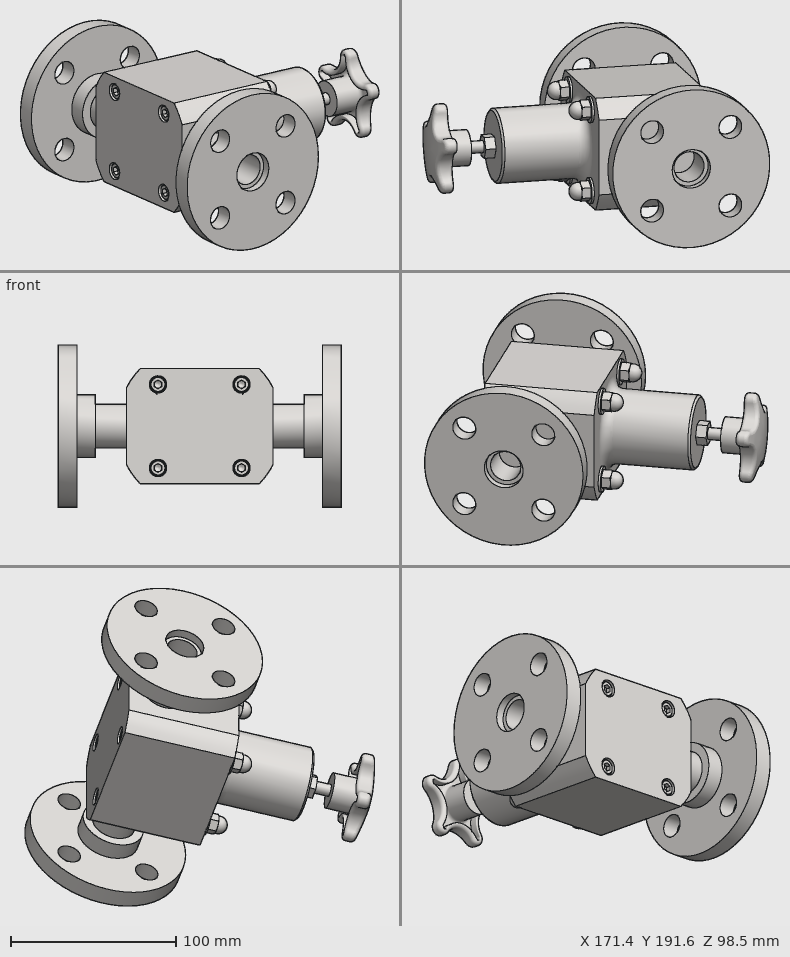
import cadquery as cq
import math

run_length = 171.4
flange_diameter = 98.5
flange_thickness = 11.5
flange_hole_diameter = 14.2
flange_hole_offset = 24.5
hub_diameter = 38.1
hub_length = 11.1
pipe_diameter = 26.6
seat_diameter = 24.0
seat_depth = 5.4
bore_diameter = 18.8
bore_depth = 28.7

body_length = 88.9
body_height = 69.9
body_depth = 69.5
body_turned_diameter = 100.3
body_back = 46.7
body_front = body_back - body_depth

bolt_offset = 25.3
counterbore_diameter = 10.5
counterbore_depth = 5.7
screw_head_diameter = 9.5
screw_head_chamfer = 0.5
screw_head_recess = 1.0
socket_flats = 4.6
socket_depth = 2.9
socket_cone_depth = 1.1
washer_diameter = 15.9
washer_thickness = 1.3
nut_flats = 11.0
nut_top = 53.8
nut_chamfer_angle = 30
dome_radius = nut_flats / 2
dome_center = 55.0

bonnet_diameter = 45.8
bonnet_top = 101.3
bonnet_chamfer = 1.3
bonnet_flare_radius = 6.5
locknut_flats = 13.0
locknut_top = 107.8
stem_diameter = 7.5

wheel_hub_diameter = 22.0
wheel_hub_bottom = 117.5
wheel_bottom = 130.5
wheel_top = 142.3
wheel_reach = 28.3
wheel_crown_radius = 90.0
wheel_edge_fillet = 2.5
lobe_count = 5
lobe_radius = 4.8
wheel_rim = 3.0
rim_inner_fillet = 0.48
wheel_pocket_floor = 135.5
hub_flare_radius = 2.5


def plane_y(y):
    """Workplane at height y on the valve axis, with normal +Y and local x along X."""
    return cq.Workplane(cq.Plane(origin=(0, y, 0), xDir=(1, 0, 0), normal=(0, 1, 0)))


def rod_y(diameter, start, end):
    """Cylinder on the valve axis."""
    return plane_y(start).circle(diameter / 2).extrude(end - start)


def hex_y(flats, start, end, corner_angle):
    """Hexagonal prism on the valve axis, one corner turned by corner_angle from X."""
    corners = flats / math.cos(math.radians(30))
    prism = plane_y(start).polygon(6, corners).extrude(end - start)
    return prism.rotate((0, 0, 0), (0, 1, 0), corner_angle)


def turn_y(outline):
    """Revolve an outline of the XY plane, once closed, around the valve axis."""
    return outline.close().revolve(360, (0, 0, 0), (0, 1, 0))


def at_bolts(shape):
    """Copies of a shape from the valve axis at the four bolt positions."""
    copies = cq.Workplane()
    for x in (-bolt_offset, bolt_offset):
        for z in (-bolt_offset, bolt_offset):
            copies = copies.add(shape.translate((x, 0, z)))
    return copies.combine()


def flanged_end():
    """Pipe, hub and flange on the -X side."""
    face = cq.Workplane("YZ", origin=(-run_length / 2, 0, 0))
    end = face.circle(flange_diameter / 2).extrude(flange_thickness)
    holes = face.rect(2 * flange_hole_offset, 2 * flange_hole_offset, forConstruction=True).vertices()
    end = end.cut(holes.circle(flange_hole_diameter / 2).extrude(flange_thickness))
    end = end.union(face.circle(hub_diameter / 2).extrude(flange_thickness + hub_length))
    end = end.union(face.circle(pipe_diameter / 2).extrude((run_length - body_length) / 2))
    end = end.cut(face.circle(seat_diameter / 2).extrude(seat_depth))
    return end.cut(face.circle(bore_diameter / 2).extrude(bore_depth))


def body_block():
    """Rectangular block whose corners are turned to a cylinder about the valve axis."""
    block = plane_y(body_front).rect(body_length, body_height).extrude(body_depth)
    return block.intersect(rod_y(body_turned_diameter, body_front, body_back))


def screw_pocket():
    """Space removed around and inside one recessed socket head."""
    head_face = body_front + screw_head_recess
    pocket = rod_y(counterbore_diameter, body_front, body_front + counterbore_depth)
    head = rod_y(screw_head_diameter, head_face, body_front + counterbore_depth)
    pocket = pocket.cut(head.faces("<Y").edges().chamfer(screw_head_chamfer))
    socket_floor = head_face + socket_depth
    socket = hex_y(socket_flats, head_face, socket_floor, 30)
    cone = turn_y(
        cq.Workplane("XY")
        .moveTo(0, socket_floor)
        .lineTo(socket_flats / 2, socket_floor)
        .lineTo(0, socket_floor + socket_cone_depth)
    )
    return pocket.union(socket).union(cone)


def cap_nut():
    """Washer and domed hexagon nut."""
    washer_top = body_back + washer_thickness
    washer = rod_y(washer_diameter, body_back, washer_top)
    chamfer_run = nut_flats / 2
    chamfer_drop = chamfer_run * math.tan(math.radians(nut_chamfer_angle))
    envelope = turn_y(
        cq.Workplane("XY")
        .moveTo(0, washer_top)
        .lineTo(dome_radius + chamfer_run, washer_top)
        .lineTo(dome_radius + chamfer_run, nut_top - chamfer_drop)
        .lineTo(dome_radius, nut_top)
        .lineTo(0, nut_top)
    )
    hexagon = hex_y(nut_flats, washer_top, nut_top, 30).intersect(envelope)
    collar = rod_y(2 * dome_radius, washer_top, dome_center)
    dome = cq.Workplane("XY", origin=(0, dome_center, 0)).sphere(dome_radius)
    return washer.union(hexagon).union(collar).union(dome)


def bonnet():
    """Chamfered bonnet that flares out to the body in a concave curve."""
    radius = bonnet_diameter / 2
    flare_end = radius + bonnet_flare_radius
    flare_bend = bonnet_flare_radius * (1 - math.sqrt(0.5))
    return turn_y(
        cq.Workplane("XY")
        .moveTo(0, body_back)
        .lineTo(flare_end, body_back)
        .threePointArc(
            (radius + flare_bend, body_back + flare_bend),
            (radius, body_back + bonnet_flare_radius),
        )
        .lineTo(radius, bonnet_top - bonnet_chamfer)
        .lineTo(radius - bonnet_chamfer, bonnet_top)
        .lineTo(0, bonnet_top)
    )


def polar(radius, angle):
    """Point at a radius and angle in the plane of the wheel."""
    return (radius * math.cos(angle), radius * math.sin(angle))


def lobe_point(angle, along, across):
    """Point on a lobe: along its centre line, then across it."""
    x, y = polar(along, angle)
    dx, dy = polar(across, angle + math.pi / 2)
    return (x + dx, y + dy)


def star(inset, height):
    """Star prism on the wheel's underside, its outline moved inwards by inset."""
    pitch = 2 * math.pi / lobe_count
    lobe_center = wheel_reach - lobe_radius
    edge_meeting = lobe_radius / math.sin(pitch / 2)
    tangent_length = lobe_center - lobe_radius / math.tan(pitch / 2)
    valley_radius = tangent_length * math.tan(pitch / 2)
    valley_reach = edge_meeting + tangent_length / math.cos(pitch / 2) - valley_radius

    first = -math.pi / 2
    half_width = lobe_radius - inset
    outline = plane_y(wheel_bottom).moveTo(*lobe_point(first, lobe_center, -half_width))
    for number in range(lobe_count):
        angle = first + number * pitch
        outline = outline.threePointArc(
            polar(wheel_reach - inset, angle), lobe_point(angle, lobe_center, half_width)
        ).threePointArc(
            polar(valley_reach - inset, angle + pitch / 2),
            lobe_point(angle + pitch, lobe_center, -half_width),
        )
    return outline.close().extrude(height)


def wheel_hub():
    """Hub that flares out into the floor of the wheel's pocket."""
    radius = wheel_hub_diameter / 2
    bend = hub_flare_radius * (1 - math.sqrt(0.5))
    return turn_y(
        cq.Workplane("XY")
        .moveTo(0, wheel_hub_bottom)
        .lineTo(radius, wheel_hub_bottom)
        .lineTo(radius, wheel_pocket_floor - hub_flare_radius)
        .threePointArc(
            (radius + bend, wheel_pocket_floor - bend),
            (radius + hub_flare_radius, wheel_pocket_floor),
        )
        .lineTo(0, wheel_pocket_floor)
    )


def handwheel():
    """Star wheel with round lobes, concave sides, a crowned top and a hollow underside."""
    blank_radius = 1.2 * wheel_reach
    rim_drop = wheel_crown_radius - math.sqrt(wheel_crown_radius**2 - blank_radius**2)
    half_drop = wheel_crown_radius - math.sqrt(wheel_crown_radius**2 - blank_radius**2 / 4)
    crown = turn_y(
        cq.Workplane("XY")
        .moveTo(0, wheel_bottom)
        .lineTo(blank_radius, wheel_bottom)
        .lineTo(blank_radius, wheel_top - rim_drop)
        .threePointArc((blank_radius / 2, wheel_top - half_drop), (0, wheel_top))
    )
    wheel = star(0, wheel_top - wheel_bottom).intersect(crown)
    wheel = wheel.faces("<Y or >Y").edges().fillet(wheel_edge_fillet)
    pocket = star(wheel_rim, wheel_pocket_floor - wheel_bottom)
    wheel = wheel.cut(pocket)
    wheel = wheel.faces("<Y").wires(cq.selectors.LengthNthSelector(0)).edges().fillet(rim_inner_fillet)
    return wheel.union(wheel_hub())


left_end = flanged_end()
result = body_block().union(left_end).union(left_end.mirror("YZ"))
result = result.cut(at_bolts(screw_pocket()))
result = result.union(bonnet())
result = result.union(at_bolts(cap_nut()))
result = result.union(hex_y(locknut_flats, bonnet_top, locknut_top, 0))
result = result.union(rod_y(stem_diameter, bonnet_top, wheel_bottom))
result = result.union(handwheel())